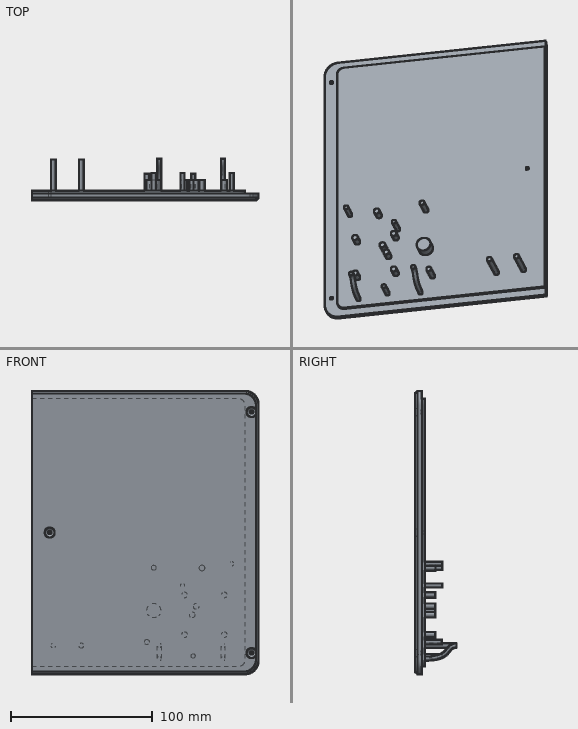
import cadquery as cq

PLATE_LENGTH = 160.0
PLATE_HEIGHT = 200.0
PLATE_CORNER_RADIUS = 10.0
PLATE_CHAMFER = 2.0
LIP_THICKNESS = 5.0

PANEL_RAISE = 2.0
PANEL_RIGHT_INSET = 9.5
PANEL_Z_INSET = 5.5
PANEL_CORNER_RADIUS = 5.0
BACK_Y = LIP_THICKNESS + PANEL_RAISE

SCREW_DIAMETER = 2.0
COUNTERSINK_DIAMETER = 7.0
COUNTERSINK_ANGLE = 90.0
CORNER_SCREW_INSET_X = 5.0
CORNER_SCREW_INSET_Z = 15.0
LEFT_SCREW_X = 12.6

BOSS_TIP_Y = 14.5
SHORT_PIN_TIP_Y = 19.0
MEDIUM_PIN_TIP_Y = 19.5
LONG_PIN_TIP_Y = 29.0
THICK_PIN_DIAMETER = 3.5
THIN_PIN_DIAMETER = 3.0
BOSS_DIAMETER = 4.0
LARGE_BOSS_DIAMETER = 10.0

LONG_PIN_CENTRES = [(15.2, -79.7), (34.9, -79.7)]
SHORT_THICK_PIN_CENTRE = (81.2, -77.2)
SHORT_THIN_PIN_CENTRE = (113.8, -87.0)
MEDIUM_THICK_PIN_CENTRE = (86.0, -24.8)
MEDIUM_THIN_PIN_CENTRES = [(106.3, -37.4), (141.0, -22.0)]
LARGE_BOSS_CENTRE = (86.0, -55.0)

BOSS_SQUARE_CENTRE = (121.7, -58.0)
BOSS_SQUARE_PITCH = 28.0
SINGLE_BOSS_CENTRES = [(113.1, -58.0), (115.9, -52.0), (120.0, -25.0)]

ROD_DIAMETER = 3.0
ROD_X_POSITIONS = [89.9, 134.9]
ROD_ROOT = (LIP_THICKNESS, -89.0)
ROD_MIDDLE = (22.0, -84.7)
ROD_TIP = (29.5, -79.7)


def make_plate():
    """Lip plate with rounded right corners and a chamfered front edge on three sides."""
    plate = cq.Workplane("XY").box(
        PLATE_LENGTH, LIP_THICKNESS, PLATE_HEIGHT, centered=(False, False, True)
    )
    plate = plate.edges("|Y and >X").fillet(PLATE_CORNER_RADIUS)
    front_edges = plate.faces("<Y").edges("not(<X)")
    return front_edges.chamfer(PLATE_CHAMFER)


def make_panel():
    """Raised panel, flush with the left edge of the plate."""
    panel = cq.Workplane("XY").box(
        PLATE_LENGTH - PANEL_RIGHT_INSET,
        BACK_Y,
        PLATE_HEIGHT - 2 * PANEL_Z_INSET,
        centered=(False, False, True),
    )
    return panel.edges("|Y and >X").fillet(PANEL_CORNER_RADIUS)


def cut_screw_holes(body):
    """Through holes countersunk from the front face."""
    corner_x = PLATE_LENGTH - CORNER_SCREW_INSET_X
    corner_z = PLATE_HEIGHT / 2 - CORNER_SCREW_INSET_Z
    centres = [(LEFT_SCREW_X, 0.0), (corner_x, corner_z), (corner_x, -corner_z)]
    return (
        cq.Workplane("XZ")
        .add(body)
        .pushPoints(centres)
        .cskHole(SCREW_DIAMETER, COUNTERSINK_DIAMETER, COUNTERSINK_ANGLE)
    )


def make_pins(centres, diameter, tip_y):
    """Round pins rooted on the lip plate back and ending at tip_y, at (X, Z) centres."""
    root_y = LIP_THICKNESS
    return (
        cq.Workplane("XZ", origin=(0, root_y, 0))
        .pushPoints(centres)
        .circle(diameter / 2)
        .extrude(root_y - tip_y)
    )


def square_centres(centre, pitch):
    """Corners of a square of side pitch around centre."""
    half = pitch / 2
    return [(centre[0] + i * half, centre[1] + j * half) for i in (-1, 1) for j in (-1, 1)]


def make_rod(x):
    """Rod along a smooth S-shaped curve in the YZ plane at x."""
    outward = (1, 0)
    path = cq.Workplane("YZ", origin=(x, 0, 0)).spline(
        [ROD_ROOT, ROD_MIDDLE, ROD_TIP], tangents=[outward, outward]
    )
    root_y, root_z = ROD_ROOT
    section = cq.Workplane("XZ", origin=(x, root_y, root_z)).circle(ROD_DIAMETER / 2)
    return section.sweep(path)


body = cut_screw_holes(make_plate().union(make_panel()))

boss_centres = square_centres(BOSS_SQUARE_CENTRE, BOSS_SQUARE_PITCH) + SINGLE_BOSS_CENTRES
pin_groups = [
    (LONG_PIN_CENTRES, THICK_PIN_DIAMETER, LONG_PIN_TIP_Y),
    ([SHORT_THICK_PIN_CENTRE], THICK_PIN_DIAMETER, SHORT_PIN_TIP_Y),
    ([SHORT_THIN_PIN_CENTRE], THIN_PIN_DIAMETER, SHORT_PIN_TIP_Y),
    ([MEDIUM_THICK_PIN_CENTRE], THICK_PIN_DIAMETER, MEDIUM_PIN_TIP_Y),
    (MEDIUM_THIN_PIN_CENTRES, THIN_PIN_DIAMETER, MEDIUM_PIN_TIP_Y),
    ([LARGE_BOSS_CENTRE], LARGE_BOSS_DIAMETER, BOSS_TIP_Y),
    (boss_centres, BOSS_DIAMETER, BOSS_TIP_Y),
]
for centres, diameter, tip_y in pin_groups:
    body = body.union(make_pins(centres, diameter, tip_y))

for rod_x in ROD_X_POSITIONS:
    body = body.union(make_rod(rod_x))

result = body